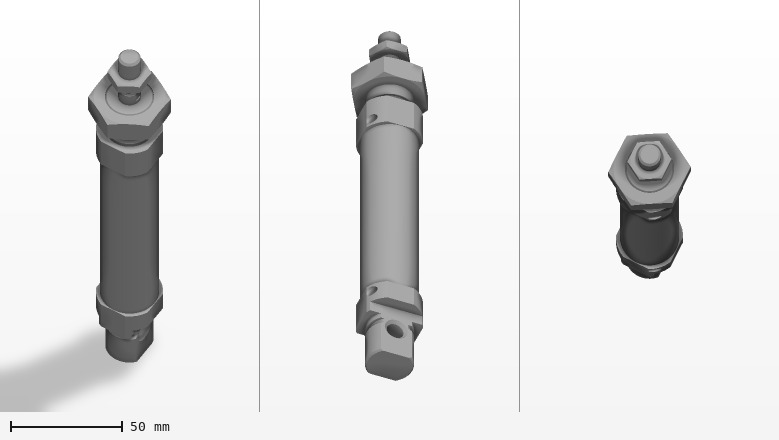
import cadquery as cq
import math

overall_height = 201.5
lower_shoulder_z = 17.0
lower_cap_bottom_z = 22.5
lug_flat_top_z = 27.8
lower_cap_top_z = 37.9
upper_cap_bottom_z = 135.8
upper_cap_top_z = 151.7
upper_shoulder_z = 153.5
neck_top_z = 173.5
rod_flat_bottom_z = 175.5
rod_shoulder_z = 180.3
rod_thread_start_z = 183.4
lock_nut_bottom_z = 186.2

tube_diameter = 26.5
cap_diameter = 30.0
cap_across_flats = 27.2
neck_diameter = 22.0
groove_diameter = 19.7
groove_cone_height = 1.0
groove_floor_height = 2.0
groove_fillet_radius = 1.0
edge_search_margin = 0.1
neck_chamfer = 0.8
lug_width = 16.1
pivot_hole_diameter = 8.0
pivot_mouth_diameter = 10.9
pivot_z = 15.5
port_diameter = 5.0
port_depth = 6.0
port_offset_x = -8.5
port_cap_offset = 3.8

rod_diameter = 10.0
rod_relief_diameter = 8.0
rod_across_flats = 9.0
rod_tip_chamfer = 1.0
rod_shoulder_chamfer = 0.6

mounting_nut_across_flats = 32.0
mounting_nut_height = 11.0
lock_nut_across_flats = 17.1
lock_nut_height = 4.8
nut_chamfer_angle = 20.0


def revolve_profile(points):
    """Turn a closed outline of (radius, height) points about the Z axis."""
    return cq.Workplane("XZ").polyline(points).close().revolve(360, (0, 0), (0, 1))


def disc(diameter, bottom, top):
    """Solid cylinder about the Z axis between two heights."""
    return cq.Workplane("XY").workplane(offset=bottom).circle(diameter / 2).extrude(top - bottom)


def mill_side_flats(body, across_flats, bottom, top):
    """Cut the two flats facing -X and +X between two heights."""
    size = cap_diameter
    for side in (-1, 1):
        block = cq.Workplane("XY").box(size, size, top - bottom, centered=(True, True, False))
        body = body.cut(block.translate((side * (across_flats + size) / 2, 0, bottom)))
    return body


def make_cap(bottom, top):
    """End cap: a round collar with four flats."""
    height = top - bottom
    square = cq.Workplane("XY").box(cap_across_flats, cap_across_flats, height, centered=(True, True, False))
    return disc(cap_diameter, bottom, top).intersect(square.translate((0, 0, bottom)))


def groove_outline(shoulder_z):
    """Outline of a thread groove: cone inward, straight floor, square step back out."""
    floor_bottom_z = shoulder_z + groove_cone_height
    floor_top_z = floor_bottom_z + groove_floor_height
    return [
        (neck_diameter / 2, shoulder_z),
        (groove_diameter / 2, floor_bottom_z),
        (groove_diameter / 2, floor_top_z),
        (neck_diameter / 2, floor_top_z),
    ]


def fillet_groove_corner(body, shoulder_z):
    """Round the inside corner where a groove's cone meets its floor."""
    groove_radius = groove_diameter / 2
    corner_z = shoulder_z + groove_cone_height
    corner_edge = body.edges(cq.selectors.BoxSelector(
        (-groove_radius, -groove_radius, corner_z - edge_search_margin),
        (groove_radius, groove_radius, corner_z + edge_search_margin),
    ))
    return corner_edge.fillet(groove_fillet_radius)


def make_core():
    """Turned core: lower neck, tube and upper neck with their thread grooves."""
    neck_radius = neck_diameter / 2
    tube_radius = tube_diameter / 2
    chamfer_radius = neck_radius - neck_chamfer
    core = revolve_profile([
        (0, 0),
        (chamfer_radius, 0),
        (neck_radius, neck_chamfer),
        *groove_outline(lower_shoulder_z),
        (neck_radius, lower_cap_bottom_z),
        (tube_radius, lower_cap_bottom_z),
        (tube_radius, upper_cap_top_z),
        (neck_radius, upper_cap_top_z),
        *groove_outline(upper_shoulder_z),
        (neck_radius, neck_top_z - neck_chamfer),
        (chamfer_radius, neck_top_z),
        (0, neck_top_z),
    ])
    for shoulder_z in (lower_shoulder_z, upper_shoulder_z):
        core = fillet_groove_corner(core, shoulder_z)
    return core


def make_pivot_cutter():
    """Cross hole along X with a chamfered mouth at each lug face."""
    half_width = lug_width / 2
    mouth_radius = pivot_mouth_diameter / 2
    hole_radius = pivot_hole_diameter / 2
    mouth_depth = mouth_radius - hole_radius
    profile = cq.Workplane("XY").polyline([
        (-half_width, 0),
        (-half_width, mouth_radius),
        (mouth_depth - half_width, hole_radius),
        (half_width - mouth_depth, hole_radius),
        (half_width, mouth_radius),
        (half_width, 0),
    ]).close()
    return profile.revolve(360, (0, 0), (1, 0)).translate((0, 0, pivot_z))


def make_port_cutter(height):
    """Blind air port, drilled along Y beside the axis from the back flat."""
    back_flat_y = cap_across_flats / 2
    port = cq.Workplane("XZ", origin=(port_offset_x, back_flat_y, height))
    return port.circle(port_diameter / 2).extrude(port_depth)


def make_housing():
    """Tube with both end caps, pivot lug, air ports and the bore for the rod."""
    body = make_core()
    body = body.union(make_cap(lower_cap_bottom_z, lower_cap_top_z))
    body = body.union(make_cap(upper_cap_bottom_z, upper_cap_top_z))
    body = mill_side_flats(body, lug_width, 0, lug_flat_top_z)
    body = body.cut(make_pivot_cutter())
    for height in (lower_cap_top_z - port_cap_offset, upper_cap_bottom_z + port_cap_offset):
        body = body.cut(make_port_cutter(height))
    rod_bore = disc(rod_diameter, upper_cap_bottom_z, neck_top_z)
    return body.cut(rod_bore)


def make_piston_rod():
    """Rod with wrench flats, a thread relief and a chamfered tip."""
    radius = rod_diameter / 2
    relief_radius = rod_relief_diameter / 2
    rod = revolve_profile([
        (0, upper_cap_bottom_z),
        (radius, upper_cap_bottom_z),
        (radius, rod_shoulder_z - rod_shoulder_chamfer),
        (radius - rod_shoulder_chamfer, rod_shoulder_z),
        (relief_radius, rod_shoulder_z),
        (relief_radius, rod_thread_start_z - (radius - relief_radius)),
        (radius, rod_thread_start_z),
        (radius, overall_height - rod_tip_chamfer),
        (radius - rod_tip_chamfer, overall_height),
        (0, overall_height),
    ])
    return mill_side_flats(rod, rod_across_flats, rod_flat_bottom_z, rod_shoulder_z)


def make_nut(across_flats, height, bore_diameter, bottom):
    """Hex nut with corners along Y, both faces chamfered down to the flats."""
    corner_diameter = across_flats / math.cos(math.radians(30))
    face_radius = across_flats / 2
    corner_radius = corner_diameter / 2
    drop = (corner_radius - face_radius) * math.tan(math.radians(nut_chamfer_angle))
    hexagon = cq.Workplane("XY").polygon(6, corner_diameter).extrude(height)
    hexagon = hexagon.rotate((0, 0, 0), (0, 0, 1), 90)
    envelope = revolve_profile([
        (0, 0),
        (face_radius, 0),
        (corner_radius, drop),
        (corner_radius, height - drop),
        (face_radius, height),
        (0, height),
    ])
    nut = hexagon.intersect(envelope).cut(disc(bore_diameter, 0, height))
    return nut.translate((0, 0, bottom))


housing = make_housing()
piston_rod = make_piston_rod()
mounting_nut = make_nut(
    mounting_nut_across_flats, mounting_nut_height, neck_diameter, neck_top_z - mounting_nut_height
)
lock_nut = make_nut(lock_nut_across_flats, lock_nut_height, rod_diameter, lock_nut_bottom_z)

result = cq.Compound.makeCompound([
    housing.val(),
    piston_rod.val(),
    mounting_nut.val(),
    lock_nut.val(),
])